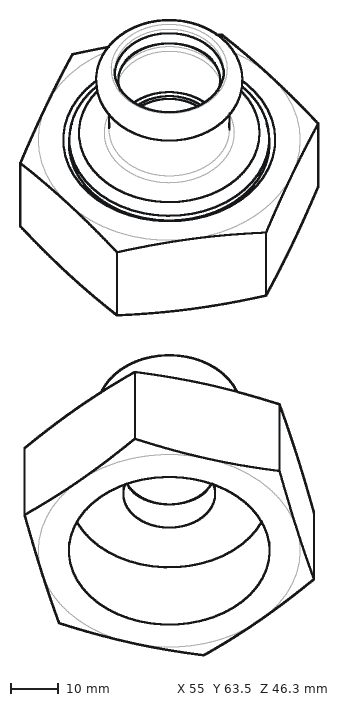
import cadquery as cq
import math

corner_diameter = 63.5
nut_height = 23.0
nut_bore_diameter = 42.2
countersink_diameter = 44.5
corner_chamfer_angle = 15.0
flat_diameter = corner_diameter * math.cos(math.radians(30))

total_height = 46.25
flange_diameter = 42.0
flange_top_diameter = 37.9
flange_top = 25.3
flange_thickness = 7.6
tube_diameter = 25.3
tube_fillet = 1.0
bead_diameter = 30.75
bead_height = 7.35

bore_diameter = 19.3
socket_diameter = 22.9
mouth_diameter = 24.4
socket_bottom = 39.8
socket_taper_length = 1.15
tube_bore_diameter = 22.3
shoulder_diameter = 20.15
bulge_diameter = 21.4
bulge_top = 44.2
bulge_bottom = 40.9


def make_nut():
    """Hexagon nut with conical corner chamfers and a countersunk bore."""
    hexagon = (
        cq.Workplane("XY")
        .polygon(6, corner_diameter)
        .extrude(nut_height)
        .rotate((0, 0, 0), (0, 0, 1), 30)
    )
    corner_radius = corner_diameter / 2
    flat_radius = flat_diameter / 2
    corner_drop = (corner_radius - flat_radius) * math.tan(math.radians(corner_chamfer_angle))
    bore_radius = nut_bore_diameter / 2
    countersink_radius = countersink_diameter / 2
    countersink_depth = countersink_radius - bore_radius
    turned_envelope = (
        cq.Workplane("XZ")
        .moveTo(bore_radius, 0)
        .lineTo(flat_radius, 0)
        .lineTo(corner_radius, corner_drop)
        .lineTo(corner_radius, nut_height - corner_drop)
        .lineTo(flat_radius, nut_height)
        .lineTo(countersink_radius, nut_height)
        .lineTo(bore_radius, nut_height - countersink_depth)
        .close()
        .revolve(360, (0, 0, 0), (0, 1, 0))
    )
    return hexagon.intersect(turned_envelope)


def make_fitting():
    """Turned fitting: 45 degree flange, filleted tube, rounded bead and stepped bore."""
    bore_radius = bore_diameter / 2
    flange_radius = flange_diameter / 2
    flange_top_radius = flange_top_diameter / 2
    tube_radius = tube_diameter / 2
    tube_bore_radius = tube_bore_diameter / 2
    shoulder_radius = shoulder_diameter / 2
    shoulder_chamfer = shoulder_radius - bore_radius
    socket_radius = socket_diameter / 2
    cone_bottom = flange_top - (flange_radius - flange_top_radius)
    flange_bottom = flange_top - flange_thickness

    bead_foot = total_height - bead_height
    bead_middle = total_height - bead_height / 2

    mouth_radius = mouth_diameter / 2
    mouth_rounding = mouth_radius - socket_radius
    mouth_middle = (
        mouth_radius - mouth_rounding * math.cos(math.radians(45)),
        total_height - mouth_rounding * (1 - math.sin(math.radians(45))),
    )

    fillet_centre_radius = tube_radius + tube_fillet
    fillet_middle = (
        fillet_centre_radius - tube_fillet * math.cos(math.radians(45)),
        flange_top + tube_fillet * (1 - math.sin(math.radians(45))),
    )
    return (
        cq.Workplane("XZ")
        .moveTo(bore_radius, flange_bottom)
        .lineTo(flange_radius, flange_bottom)
        .lineTo(flange_radius, cone_bottom)
        .lineTo(flange_top_radius, flange_top)
        .lineTo(fillet_centre_radius, flange_top)
        .threePointArc(fillet_middle, (tube_radius, flange_top + tube_fillet))
        .lineTo(tube_radius, bead_foot)
        .threePointArc((bead_diameter / 2, bead_middle), (mouth_radius, total_height))
        .threePointArc(mouth_middle, (socket_radius, total_height - mouth_rounding))
        .lineTo(socket_radius, bulge_top)
        .threePointArc((bulge_diameter / 2, (bulge_top + bulge_bottom) / 2), (socket_radius, bulge_bottom))
        .lineTo(socket_radius, socket_bottom)
        .lineTo(tube_bore_radius, socket_bottom - socket_taper_length)
        .lineTo(tube_bore_radius, flange_top)
        .lineTo(shoulder_radius, flange_top)
        .lineTo(bore_radius, flange_top - shoulder_chamfer)
        .close()
        .revolve(360, (0, 0, 0), (0, 1, 0))
    )


nut = make_nut()
fitting = make_fitting()
result = cq.Compound.makeCompound([nut.val(), fitting.val()])